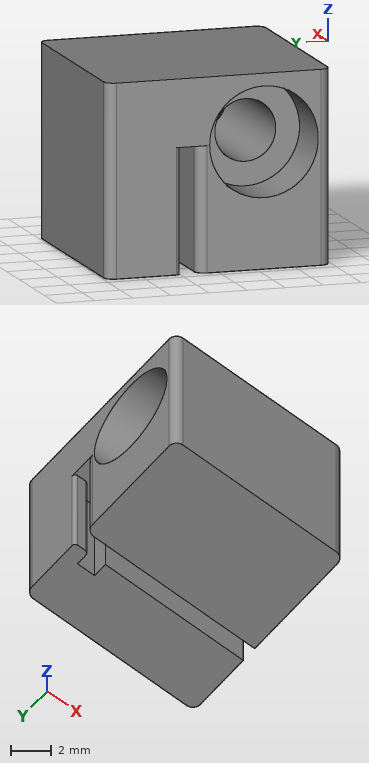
import cadquery as cq

LENGTH_X = 10.9
LENGTH_Y = 11.75
HEIGHT = 10.0
CORNER_RADIUS = 0.5

BORE_Y = -2.375
BORE_Z = 1.5
COUNTERBORE_DIAMETER = 5.7
COUNTERBORE_DEPTH = 3.0
BORE_DIAMETER = 3.2

SLOT_TOP_Z = BORE_Z
SLOT_NEAR_Y = 1.125
SLOT_WIDTH = 0.9
SLOT_ENTRY_RADIUS = CORNER_RADIUS
LIP_RADIUS = 0.2
LIP_THICKNESS = 0.89
NOTCH_LENGTH = 1.1
NOTCH_DEPTH = 0.85

LEFT_X = -LENGTH_X / 2
RIGHT_X = LENGTH_X / 2
BOTTOM_Z = -HEIGHT / 2


def make_block():
    block = cq.Workplane("XY").box(LENGTH_X, LENGTH_Y, HEIGHT)
    return block.edges("|Z").fillet(CORNER_RADIUS)


def x_cylinder(diameter, length):
    """Cylinder on the bore axis, starting at the -X face."""
    plane = cq.Workplane("YZ", origin=(LEFT_X, BORE_Y, BORE_Z))
    return plane.circle(diameter / 2).extrude(length)


def make_stepped_bore():
    bore = x_cylinder(BORE_DIAMETER, LENGTH_X)
    return bore.union(x_cylinder(COUNTERBORE_DIAMETER, COUNTERBORE_DEPTH))


def make_slot():
    """Slot volume with a rounded -X entry and a notch behind the lip on the +Y side."""
    far_y = SLOT_NEAR_Y + SLOT_WIDTH
    notch_y = far_y + NOTCH_DEPTH
    notch_start_x = LEFT_X + LIP_THICKNESS
    notch_end_x = notch_start_x + NOTCH_LENGTH
    outline = (
        cq.Workplane("XY", origin=(0, 0, BOTTOM_Z))
        .moveTo(LEFT_X, SLOT_NEAR_Y - SLOT_ENTRY_RADIUS)
        .radiusArc((LEFT_X + SLOT_ENTRY_RADIUS, SLOT_NEAR_Y), SLOT_ENTRY_RADIUS)
        .lineTo(RIGHT_X, SLOT_NEAR_Y)
        .lineTo(RIGHT_X, far_y)
        .lineTo(notch_end_x, far_y)
        .lineTo(notch_end_x, notch_y)
        .lineTo(notch_start_x, notch_y)
        .lineTo(notch_start_x, far_y + LIP_RADIUS)
        .radiusArc((notch_start_x - LIP_RADIUS, far_y), LIP_RADIUS)
        .lineTo(LEFT_X + LIP_RADIUS, far_y)
        .radiusArc((LEFT_X, far_y + LIP_RADIUS), LIP_RADIUS)
        .close()
    )
    return outline.extrude(SLOT_TOP_Z - BOTTOM_Z)


result = make_block().cut(make_stepped_bore()).cut(make_slot())